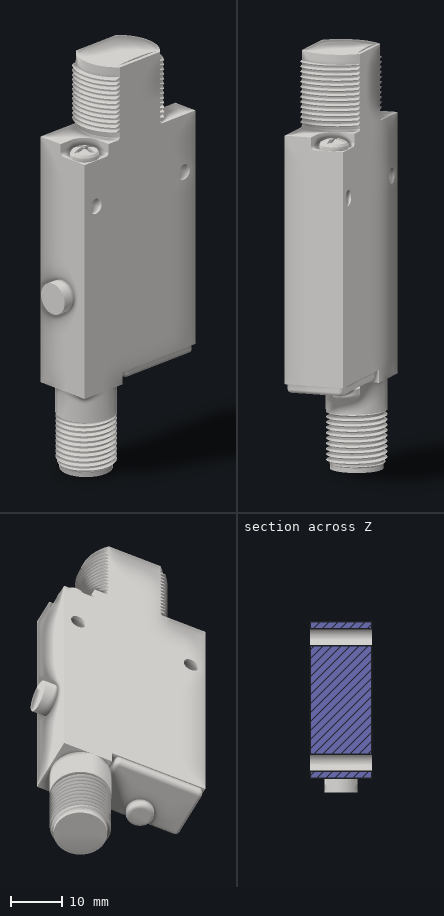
import cadquery as cq

WIDTH = 12.1
DEPTH = 30.5
BODY_BOTTOM_Z = 18.0
BODY_TOP_Z = 69.7
OVERALL_HEIGHT = 85.5

STEP_Z = 20.5
STEP_END_Y = -4.9

HOLE_DIAMETER = 3.2
HOLE_Z = 57.65
HOLE_INSET = 3.1

BUTTON_DIAMETER = 6.4
BUTTON_LENGTH = 2.7
BUTTON_Z = 38.1

RIDGE_ROOT_WIDTH = 0.7
RIDGE_EMBED = 0.2

BARREL_THREAD_RADIUS = 9.0
BARREL_CORE_RADIUS = 8.2
BARREL_THREAD_START_Z = 70.65
BARREL_THREAD_END_Z = 83.65
BARREL_THREAD_TURNS = 13
BARREL_RIM_Z = 83.0
BARREL_TOP_Z = 84.9
BARREL_BASE_FLARE = 0.25
BARREL_FLARE_HEIGHT = 0.4

LENS_RADIUS = 7.5
LENS_WIDTH = 10.5

CONNECTOR_Y = -8.8
SHANK_RADIUS = WIDTH / 2
CONNECTOR_THREAD_RADIUS = 6.0
CONNECTOR_CORE_RADIUS = 5.3
CONNECTOR_THREAD_START_Z = 0.6
CONNECTOR_THREAD_END_Z = 12.2
CONNECTOR_THREAD_TURNS = 11
CONNECTOR_SHANK_Z = 11.7
CONNECTOR_TIP_RADIUS = 5.2
CONNECTOR_TIP_Z = 0.9
CONNECTOR_TAPER_TOP_Z = 2.2
CONNECTOR_TAPER_RADIUS = 6.4

SCREW_INSET = 3.0
SCREW_X = SCREW_INSET - WIDTH / 2
SCREW_Y = DEPTH / 2 - SCREW_INSET
SCREW_RADIUS = 2.8
SCREW_RIM_HEIGHT = 0.8
SCREW_SHOULDER_HEIGHT = 0.5
SCREW_DOME_RADIUS = 2.6
SCREW_DOME_HEIGHT = 0.8
SCREW_SLOT_WIDTH = 0.9
POCKET_DEPTH = 2.5
POCKET_FILLET = 0.8
POCKET_RADIUS = SCREW_RADIUS + POCKET_FILLET

PLATE_MARGIN = 0.25
PLATE_LENGTH = 18.8
PLATE_THICKNESS = 1.8
PLATE_CORNER_RADIUS = 0.85
PLATE_EDGE_FILLET = 0.8
PLATE_SCREW_X = -3.1
PLATE_SCREW_Y = 5.6
PLATE_SCREW_RADIUS = 2.7
PLATE_SCREW_HEIGHT = 1.9
PLATE_SCREW_FILLET = 0.8


def cylinder(radius, bottom_z, top_z, x=0.0, y=0.0):
    """Upright cylinder between two heights."""
    return cq.Workplane("XY", origin=(x, y, bottom_z)).circle(radius).extrude(top_z - bottom_z)


def cone(bottom_radius, top_radius, bottom_z, top_z, x=0.0, y=0.0):
    """Upright truncated cone between two heights."""
    solid = cq.Solid.makeCone(bottom_radius, top_radius, top_z - bottom_z, cq.Vector(x, y, bottom_z))
    return cq.Workplane(solid)


def dome(radius, height, base_z, x=0.0, y=0.0):
    """Spherical cap standing on a circle of the given radius."""
    sphere_radius = (radius**2 + height**2) / (2 * height)
    sphere = cq.Workplane("XY", origin=(x, y, base_z + height - sphere_radius)).sphere(sphere_radius)
    return sphere.intersect(cylinder(radius, base_z, base_z + height, x, y))


def thread_ridge(core_radius, crest_radius, turns, start_z, end_z):
    """Right-hand helical ridge round the Z axis, its crest starting on the +X side."""
    inner_radius = core_radius - RIDGE_EMBED
    flank_slope = RIDGE_ROOT_WIDTH / (crest_radius - core_radius)
    inner_half = (RIDGE_ROOT_WIDTH + flank_slope * RIDGE_EMBED) / 2
    length = end_z - start_z
    path = cq.Workplane("XY").add(cq.Wire.makeHelix(length / turns, length, core_radius))
    profile = cq.Workplane("XZ").polyline([
        (inner_radius, -inner_half),
        (crest_radius, 0),
        (inner_radius, inner_half),
    ]).close()
    return profile.sweep(path, isFrenet=True).translate((0, 0, start_z))


def make_body():
    """Block with the underside step, mounting holes and push button."""
    half_depth = DEPTH / 2
    body = (
        cq.Workplane("YZ", origin=(-WIDTH / 2, 0, 0))
        .polyline([
            (-half_depth, BODY_BOTTOM_Z),
            (STEP_END_Y, BODY_BOTTOM_Z),
            (STEP_END_Y, STEP_Z),
            (half_depth, STEP_Z),
            (half_depth, BODY_TOP_Z),
            (-half_depth, BODY_TOP_Z),
        ])
        .close()
        .extrude(WIDTH)
    )
    hole_y = half_depth - HOLE_INSET
    holes = (
        cq.Workplane("YZ", origin=(-WIDTH / 2, 0, HOLE_Z))
        .pushPoints([(-hole_y, 0), (hole_y, 0)])
        .circle(HOLE_DIAMETER / 2)
        .extrude(WIDTH)
    )
    button = (
        cq.Workplane("XZ", origin=(0, -half_depth, BUTTON_Z))
        .circle(BUTTON_DIAMETER / 2)
        .extrude(BUTTON_LENGTH)
    )
    return body.cut(holes).union(button)


def make_barrel():
    """Threaded lens barrel with flat sides and the domed lens."""
    core = cylinder(BARREL_CORE_RADIUS, BODY_TOP_Z, BARREL_TOP_Z)
    core = core.rotate((0, 0, 0), (0, 0, 1), 90)
    flare = cone(
        BARREL_CORE_RADIUS + BARREL_BASE_FLARE, BARREL_CORE_RADIUS,
        BODY_TOP_Z, BODY_TOP_Z + BARREL_FLARE_HEIGHT,
    )
    ridge = thread_ridge(
        BARREL_CORE_RADIUS, BARREL_THREAD_RADIUS, BARREL_THREAD_TURNS,
        BARREL_THREAD_START_Z, BARREL_THREAD_END_Z,
    )
    ridge = ridge.intersect(cylinder(2 * BARREL_THREAD_RADIUS, BODY_TOP_Z, BARREL_RIM_Z))
    height = BARREL_TOP_Z - BODY_TOP_Z
    flats = (
        cq.Workplane("XY", origin=(0, 0, BODY_TOP_Z))
        .rect(WIDTH, 4 * BARREL_THREAD_RADIUS)
        .extrude(height)
    )
    barrel = core.union(ridge).union(flare).intersect(flats)

    lens_height = OVERALL_HEIGHT - BARREL_TOP_Z
    lens_flats = (
        cq.Workplane("XY", origin=(0, 0, BARREL_TOP_Z))
        .rect(LENS_WIDTH, 2 * LENS_RADIUS)
        .extrude(lens_height)
    )
    lens = dome(LENS_RADIUS, lens_height, BARREL_TOP_Z).intersect(lens_flats)
    return barrel.union(lens)


def make_connector():
    """Plain shank, then a thread that tapers down to the tip."""
    core = cylinder(CONNECTOR_CORE_RADIUS, 0, BODY_BOTTOM_Z)
    ridge = thread_ridge(
        CONNECTOR_CORE_RADIUS, CONNECTOR_THREAD_RADIUS, CONNECTOR_THREAD_TURNS,
        CONNECTOR_THREAD_START_Z, CONNECTOR_THREAD_END_Z,
    )
    envelope = (
        cq.Workplane("XZ")
        .polyline([
            (0, 0),
            (CONNECTOR_TIP_RADIUS, 0),
            (CONNECTOR_TIP_RADIUS, CONNECTOR_TIP_Z),
            (CONNECTOR_TAPER_RADIUS, CONNECTOR_TAPER_TOP_Z),
            (CONNECTOR_TAPER_RADIUS, BODY_BOTTOM_Z),
            (0, BODY_BOTTOM_Z),
        ])
        .close()
        .revolve(360, (0, 0, 0), (0, 1, 0))
    )
    shank = cylinder(SHANK_RADIUS, CONNECTOR_SHANK_Z, BODY_BOTTOM_Z)
    return core.union(ridge).intersect(envelope).union(shank).translate((0, CONNECTOR_Y, 0))


def make_pocket():
    """Cutter for the screw pocket in the (-X, +Y) corner, rounded at the inner corner and floor."""
    reach = SCREW_INSET + POCKET_RADIUS
    return (
        cq.Workplane("XY", origin=(SCREW_X, SCREW_Y, BODY_TOP_Z - POCKET_DEPTH))
        .rect(2 * reach, 2 * reach)
        .extrude(POCKET_DEPTH)
        .translate((POCKET_RADIUS - reach, reach - POCKET_RADIUS, 0))
        .edges("|Z and >X and <Y")
        .fillet(POCKET_RADIUS)
        .faces("<Z")
        .edges()
        .fillet(POCKET_FILLET)
    )


def make_screw():
    """Screw head with a tapered shoulder and a cross-slotted dome, on the floor of the (-X, +Y) pocket."""
    floor_z = BODY_TOP_Z - POCKET_DEPTH
    rim_z = floor_z + SCREW_RIM_HEIGHT
    dome_z = rim_z + SCREW_SHOULDER_HEIGHT
    slots = (
        cq.Workplane("XY", origin=(SCREW_X, SCREW_Y, dome_z))
        .rect(SCREW_SLOT_WIDTH, 2 * SCREW_RADIUS)
        .extrude(SCREW_DOME_HEIGHT)
    )
    slots = slots.union(slots.rotate((SCREW_X, SCREW_Y, 0), (SCREW_X, SCREW_Y, 1), 90))
    crown = dome(SCREW_DOME_RADIUS, SCREW_DOME_HEIGHT, dome_z, SCREW_X, SCREW_Y).cut(slots)
    shoulder = cone(SCREW_RADIUS, SCREW_DOME_RADIUS, rim_z, dome_z, SCREW_X, SCREW_Y)
    return cylinder(SCREW_RADIUS, floor_z, rim_z, SCREW_X, SCREW_Y).union(shoulder).union(crown)


def make_cover_plate():
    """Rounded plate under the step, with a screw head below it."""
    plate_y = DEPTH / 2 - PLATE_MARGIN - PLATE_LENGTH / 2
    plate_bottom_z = STEP_Z - PLATE_THICKNESS
    plate = (
        cq.Workplane("XY", origin=(0, plate_y, plate_bottom_z))
        .rect(WIDTH - 2 * PLATE_MARGIN, PLATE_LENGTH)
        .extrude(PLATE_THICKNESS)
        .edges("|Z")
        .fillet(PLATE_CORNER_RADIUS)
        .faces("<Z")
        .edges()
        .fillet(PLATE_EDGE_FILLET)
    )
    screw_bottom_z = plate_bottom_z - PLATE_SCREW_HEIGHT
    screw = (
        cylinder(PLATE_SCREW_RADIUS, screw_bottom_z, plate_bottom_z, PLATE_SCREW_X, PLATE_SCREW_Y)
        .faces("<Z")
        .edges()
        .fillet(PLATE_SCREW_FILLET)
    )
    return plate.union(screw)


result = make_body().union(make_barrel()).union(make_connector()).union(make_cover_plate())

for angle in (0, 180):
    pocket = make_pocket().rotate((0, 0, 0), (0, 0, 1), angle)
    screw = make_screw().rotate((0, 0, 0), (0, 0, 1), angle)
    result = result.cut(pocket).union(screw)